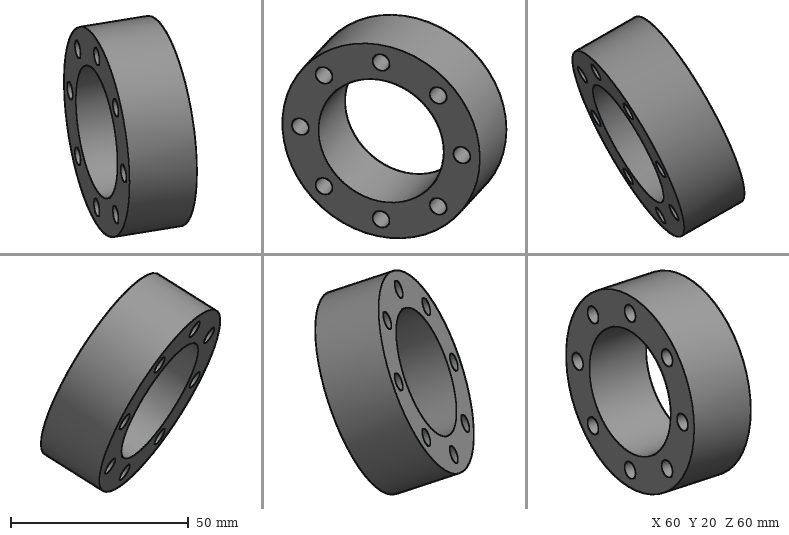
import cadquery as cq

outer_diameter = 60.0
bore_diameter = 38.0
thickness = 20.0

hole_count = 8
hole_diameter = 5.1
bolt_circle_diameter = 49.0


def make_ring():
    """Plain ring around the Y axis, with its back face on Y = 0."""
    return (
        cq.Workplane("XZ")
        .circle(outer_diameter / 2)
        .circle(bore_diameter / 2)
        .extrude(thickness)
    )


def make_bolt_holes():
    """Cylinders that pass through the full thickness of the ring."""
    return (
        cq.Workplane("XZ")
        .polarArray(bolt_circle_diameter / 2, 0, 360, hole_count)
        .circle(hole_diameter / 2)
        .extrude(thickness)
    )


result = make_ring().cut(make_bolt_holes())